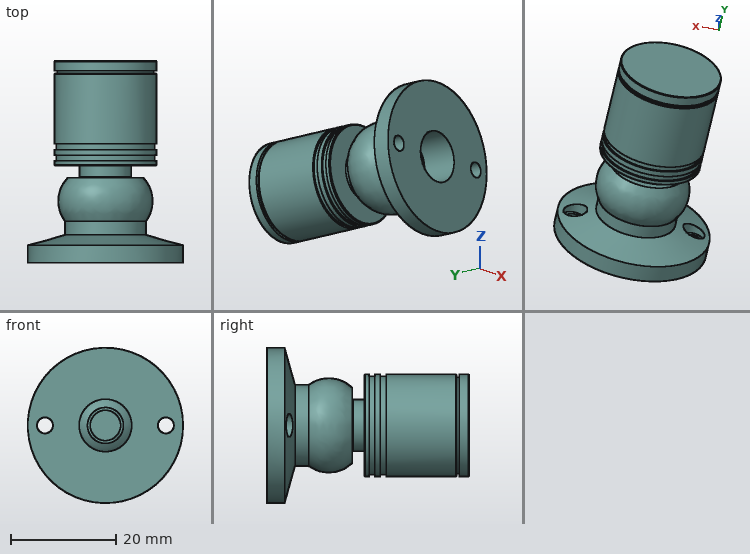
import cadquery as cq
import math


flange_radius = 14.8
flange_thickness = 3.37
shoulder_end_y = 5.35
neck_radius = 7.74
neck_end_y = 7.93
bulge_radius = 9.0
socket_rim_radius = 7.18
socket_rim_y = 16.25
access_bore_radius = 5.0
screw_hole_radius = 1.5
screw_hole_offset = 11.5
screw_head_radius = 2.2
screw_head_seat_y = 2.5

ball_radius = 6.6
ball_center_y = 11.7
ball_front_flat_radius = 3.42
ball_front_y = ball_center_y - math.sqrt(ball_radius**2 - ball_front_flat_radius**2)
ball_rear_y = socket_rim_y
ball_rear_flat_radius = math.sqrt(ball_radius**2 - (ball_rear_y - ball_center_y) ** 2)

shank_radius = 2.89
collar_radius = 4.95
collar_chamfer = 0.12
collar_seat_depth = 5.0

housing_radius = 9.75
housing_front_y = 18.5
housing_rear_y = 36.1
housing_chamfer = 0.2
ring_groove_radius = 9.4
ring_groove_width = 1.07
ring_groove_starts = (19.44, 21.58)
collar_rear_y = housing_front_y + collar_seat_depth

cap_front_y = 36.55
cap_rear_y = 38.44
cap_chamfer = 0.13
spigot_radius = 9.2
plug_radius = 7.5
plug_depth = 3.0
plug_front_y = housing_rear_y - plug_depth


def cylinder(radius, start_y, end_y, x=0.0):
    """Solid cylinder parallel to Y between two Y positions."""
    disc = cq.Workplane("XZ", origin=(x, start_y, 0)).circle(radius)
    return disc.extrude(start_y - end_y)


def revolve_about_y(outline):
    """Turn a closed outline of (radius, y) points about the Y axis."""
    return outline.close().revolve(360, (0, 0, 0), (0, 1, 0))


def truncated_ball():
    """Ball with a small flat in front and a larger flat behind."""
    return revolve_about_y(
        cq.Workplane("XY")
        .moveTo(0, ball_front_y)
        .lineTo(ball_front_flat_radius, ball_front_y)
        .threePointArc((ball_radius, ball_center_y), (ball_rear_flat_radius, ball_rear_y))
        .lineTo(0, ball_rear_y)
    )


def make_base():
    body = revolve_about_y(
        cq.Workplane("XY")
        .lineTo(flange_radius, 0)
        .lineTo(flange_radius, flange_thickness)
        .lineTo(neck_radius, shoulder_end_y)
        .lineTo(neck_radius, neck_end_y)
        .threePointArc((bulge_radius, ball_center_y), (socket_rim_radius, socket_rim_y))
        .lineTo(0, socket_rim_y)
    )
    body = body.cut(cylinder(access_bore_radius, 0, ball_center_y))
    body = body.cut(truncated_ball())
    for side in (-1, 1):
        hole_x = side * screw_hole_offset
        body = body.cut(cylinder(screw_hole_radius, 0, screw_head_seat_y, hole_x))
        body = body.cut(cylinder(screw_head_radius, screw_head_seat_y, shoulder_end_y, hole_x))
    return body


def make_ball():
    return truncated_ball().cut(cylinder(shank_radius, ball_front_y, ball_rear_y))


def make_stud():
    collar = cylinder(collar_radius, ball_rear_y, collar_rear_y).faces("<Y").chamfer(collar_chamfer)
    shank = cylinder(shank_radius, ball_front_y, collar_rear_y)
    return collar.union(shank)


def make_housing():
    body = cylinder(housing_radius, housing_front_y, housing_rear_y)
    body = body.faces("<Y or >Y").chamfer(housing_chamfer)
    for start_y in ring_groove_starts:
        end_y = start_y + ring_groove_width
        groove = cylinder(housing_radius, start_y, end_y)
        groove = groove.cut(cylinder(ring_groove_radius, start_y, end_y))
        body = body.cut(groove)
    body = body.cut(cylinder(collar_radius, housing_front_y, collar_rear_y))
    return body.cut(cylinder(plug_radius, plug_front_y, housing_rear_y))


def make_cap():
    disc = cylinder(housing_radius, cap_front_y, cap_rear_y).faces(">Y").chamfer(cap_chamfer)
    spigot = cylinder(spigot_radius, housing_rear_y, cap_front_y)
    plug = cylinder(plug_radius, plug_front_y, housing_rear_y)
    return disc.union(spigot).union(plug)


base = make_base()
ball = make_ball()
stud = make_stud()
housing = make_housing()
cap = make_cap()

result = cq.Compound.makeCompound([base.val(), ball.val(), stud.val(), housing.val(), cap.val()])